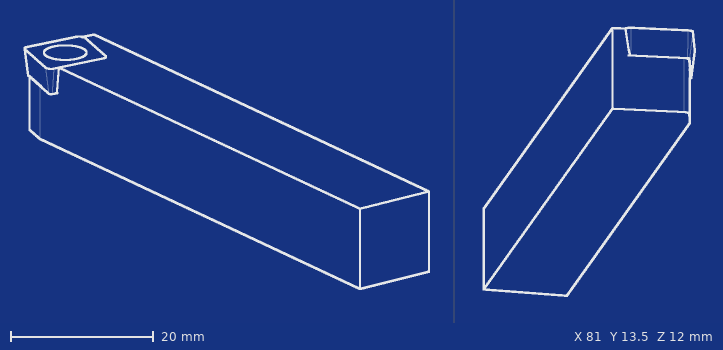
import cadquery as cq
import math

TOOL_LENGTH = 81.0
SHANK_SIZE = 12.0

INSCRIBED_DIAMETER = 9.55
INSERT_THICKNESS = 4.0
INSERT_OVERHANG = 1.5
CORNER_RADIUS = 0.8
RELIEF_ANGLE = 7.0
HOLE_DIAMETER = 6.0
FRONT_CLEARANCE = 0.1

END_SIDE_ANGLE = 175.0
FRONT_SIDE_ANGLE = 255.0

insert_base = SHANK_SIZE - INSERT_THICKNESS
top_reach = INSCRIBED_DIAMETER / 2
relief = INSERT_THICKNESS * math.tan(math.radians(RELIEF_ANGLE))
base_reach = top_reach - relief
base_radius = CORNER_RADIUS - relief


def side_crossing(angle_a, reach_a, angle_b, reach_b):
    """Corner of two sides, each given by its facing angle and its distance from the insert axis."""
    a = math.radians(angle_a)
    b = math.radians(angle_b)
    spread = math.sin(b - a)
    x = (reach_a * math.sin(b) - reach_b * math.sin(a)) / spread
    y = (reach_b * math.cos(a) - reach_a * math.cos(b)) / spread
    return (x, y)


arc_reach = top_reach - CORNER_RADIUS
nose_arc = side_crossing(END_SIDE_ANGLE, arc_reach, FRONT_SIDE_ANGLE, arc_reach)
front_arc = side_crossing(FRONT_SIDE_ANGLE, arc_reach, END_SIDE_ANGLE + 180, arc_reach)
center_x = CORNER_RADIUS - nose_arc[0]
center_y = CORNER_RADIUS - front_arc[1] - INSERT_OVERHANG


def rhombus_outline(reach, radius):
    """Rounded rhombus whose four sides lie at the given distance from the insert axis."""
    angles = [END_SIDE_ANGLE, FRONT_SIDE_ANGLE, END_SIDE_ANGLE + 180, FRONT_SIDE_ANGLE + 180]
    corners = [side_crossing(angles[i], reach, angles[(i + 1) % 4], reach) for i in range(4)]
    return cq.Sketch().polygon(corners + corners[:1]).vertices().fillet(radius)


def make_insert_blank():
    """Insert without its hole, narrowing downward by the relief angle."""
    return (
        cq.Workplane("XY")
        .workplane(offset=insert_base)
        .center(center_x, center_y)
        .placeSketch(
            rhombus_outline(base_reach, base_radius),
            rhombus_outline(top_reach, CORNER_RADIUS).moved(cq.Location(cq.Vector(0, 0, INSERT_THICKNESS))),
        )
        .loft(ruled=True)
    )


def make_stud():
    """Round stud of the holder that fills the insert hole."""
    return (
        cq.Workplane("XY")
        .workplane(offset=insert_base)
        .center(center_x, center_y)
        .circle(HOLE_DIAMETER / 2)
        .extrude(INSERT_THICKNESS)
    )


def make_shank():
    """Square bar whose end follows the two cutting sides at the base of the insert."""
    front_reach = base_reach - FRONT_CLEARANCE
    end = TOOL_LENGTH - center_x
    front = -center_y
    back = SHANK_SIZE - center_y
    front_start = side_crossing(FRONT_SIDE_ANGLE, front_reach, 270, center_y)
    nose = side_crossing(END_SIDE_ANGLE, base_reach, FRONT_SIDE_ANGLE, front_reach)
    back_start = side_crossing(90, back, END_SIDE_ANGLE, base_reach)
    outline = [front_start, (end, front), (end, back), back_start, nose]
    bar = cq.Workplane("XY").center(center_x, center_y).polyline(outline).close().extrude(SHANK_SIZE)
    nose_point = (center_x + nose[0], center_y + nose[1], SHANK_SIZE / 2)
    return bar.edges(cq.selectors.NearestToPointSelector(nose_point)).fillet(CORNER_RADIUS)


insert_blank = make_insert_blank()
stud = make_stud()

insert = insert_blank.cut(stud)
holder = make_shank().cut(insert_blank).union(stud)

result = cq.Compound.makeCompound([*holder.solids().vals(), *insert.solids().vals()])